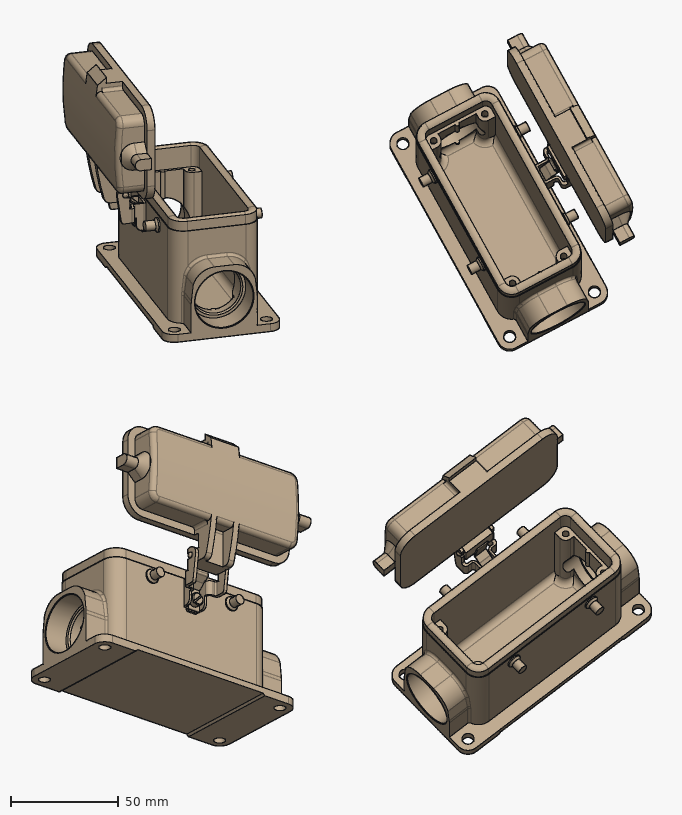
import cadquery as cq
import math

flange_length = 117.0
flange_width = 57.0
flange_thickness = 4.0
flange_corner_radius = 5.8
mount_hole_diameter = 5.6
mount_hole_x = 52.4
mount_hole_y = 22.5
relief_half_length = 38.6
relief_depth = 1.0

body_half_x = 46.6
body_half_y = 21.8
body_corner_radius = 7.6
rim_step = 0.4
rim_base_z = 50.4
housing_height = 55.8
rim_edge_z = 55.2
wall = 4.0
floor_z = 3.5
floor_fillet = 3.4
floor_corner_radius = 3.6

post_x = 38.7
post_y = 13.6
post_radius = 3.5
post_hole_diameter = 3.0
post_hole_depth = 11.7
post_top_z = 44.5
ledge_thickness = 1.5
nub_radius = 1.0

entry_axis_z = 19.0
entry_bore_diameter = 24.0
entry_bore_chamfer_diameter = 25.5
entry_thread_diameter = 28.3
entry_mouth_diameter = 29.0
hood_half_width = 16.1
hood_side_top_z = 18.1
hood_shoulder_y = 15.1
hood_shoulder_z = 28.0
hood_blend_y = 16.0
hood_blend_z = 20.0
hood_flat_half_width = 4.8
hood_top_z = 35.9
hood_fillet = 1.4

peg_x = 23.8
peg_z = 45.5
peg_diameter = 4.8
peg_tip_y = 28.3
collar_diameter = 7.0
collar_thickness = 0.7

cover_half_x = 48.3
cover_bottom_z = 66.8
cover_top_z = 113.3
cover_corner_radius = 9.1
cover_back_y = -30.7
cover_plate_front_y = -34.5
dome_half_x = 44.1
dome_half_z = 19.4
dome_corner_radius = 4.6
dome_edge_fillet = 2.6
bulge_apex_y = -48.3
bulge_apex_z = 91.3
bulge_radius = 134.5
strap_half_width = 8.3
strap_fillet = 1.6
lip_top_z = 116.2
lip_back_y = -42.2
lip_front_z = 112.7
tongue_back_y = -37.3
tongue_bottom_z = 52.6
tongue_bottom_fillet = 2.9
tongue_root_fillet = 1.0
knuckle_top_z = 59.3
knuckle_back_y = -30.2
slot_half_width = 5.0
slot_floor_y = -39.0
slot_top_z = 73.1
slot_fillet = 3.9
lug_tip_x = 55.1
lug_axis_y = -39.5
lug_radius = 2.8
lug_base_radius = 6.85

pin_y = -33.3
pin_z = 56.4
pin_diameter = 3.0
pin_tip_x = 11.0
pin_end_fillet = 1.4
sheet = 1.2
arm_thickness = 1.8
arm_head_radius = 4.1
arm_back_y = -31.4
arm_foot_y = -35.3
arm_foot_fillet = 1.2
bracket_bottom_z = 42.0
bracket_top_z = 49.1
channel_half_width = 5.09
channel_bottom_z = 35.6
channel_front_y = -26.6
channel_corner = 2.3
shoulder_y = -28.5
shoulder_bend = 1.3
inner_bend = 0.8
tab_half_width = 3.4
tab_bottom_z = 33.7
tab_chamfer = 0.9
spring_thickness = 0.7
spring_bend_z = 45.6
spring_slope_run = 3.3
spring_reach_y = -29.7
spring_knee_z = 50.5
spring_tip_y = -28.1
spring_tip_z = 59.4

screw_z = 39.3
screw_head_diameter = 6.3
screw_head_front_y = -26.9
screw_head_chamfer = 0.5
screw_shank_diameter = 3.0
screw_end_y = -19.9
driver_slot_width = 0.8
driver_slot_depth = 0.9
driver_slot_angle = 45

rim_half_x = body_half_x - rim_step
rim_half_y = body_half_y - rim_step
cavity_half_x = rim_half_x - wall
cavity_half_y = rim_half_y - wall
rim_corner_radius = body_corner_radius - rim_step
cavity_corner_radius = rim_corner_radius - wall
flange_end_x = flange_length / 2
cover_mid_z = (cover_bottom_z + cover_top_z) / 2
web_front_y = -body_half_y - sheet
head_back_z = pin_z + math.sqrt(arm_head_radius**2 - (arm_back_y - pin_y) ** 2)
plate_front_y = web_front_y - spring_thickness


def upright_block(half_x, half_y, radius, z_low, z_high):
    """Rectangular block with rounded vertical edges."""
    block = cq.Workplane("XY").workplane(offset=z_low).rect(2 * half_x, 2 * half_y)
    return block.extrude(z_high - z_low).edges("|Z").fillet(radius)


def along_x(diameter, x_start, x_end, y, z):
    """Cylinder parallel to X."""
    disc = cq.Workplane("YZ").workplane(offset=x_start).center(y, z).circle(diameter / 2)
    return disc.extrude(x_end - x_start)


def along_y(diameter, y_start, y_end, x, z):
    """Cylinder parallel to Y."""
    disc = cq.Workplane("XZ", origin=(0, y_start, 0)).center(x, z).circle(diameter / 2)
    return disc.extrude(y_start - y_end)


def mirrored_x(shape):
    """The shape together with its mirror image across X = 0."""
    return shape.union(shape.mirror("YZ"))


def flange():
    plate = upright_block(flange_end_x, flange_width / 2, flange_corner_radius, 0, flange_thickness)
    holes = cq.Workplane("XY").rect(2 * mount_hole_x, 2 * mount_hole_y, forConstruction=True)
    holes = holes.vertices().circle(mount_hole_diameter / 2).extrude(flange_thickness)
    relief_top = relief_half_length - relief_depth
    relief = (
        cq.Workplane("XZ")
        .polyline([(-relief_half_length, 0), (relief_half_length, 0),
                   (relief_top, relief_depth), (-relief_top, relief_depth)])
        .close()
        .extrude(flange_width / 2, both=True)
    )
    return plate.cut(holes).cut(relief)


def entry_hood():
    """Arched block round the cable entry, reaching from inside the end wall to the flange end."""
    arc_angle = math.radians(48)
    arc_radius = hood_shoulder_y - hood_flat_half_width
    arc_y = hood_flat_half_width + arc_radius * math.cos(arc_angle)
    arc_z = hood_top_z - arc_radius * (1 - math.sin(arc_angle))
    return (
        cq.Workplane("YZ", origin=(cavity_half_x, 0, 0))
        .moveTo(-hood_half_width, relief_depth)
        .lineTo(hood_half_width, relief_depth)
        .lineTo(hood_half_width, hood_side_top_z)
        .lineTo(hood_blend_y, hood_blend_z)
        .lineTo(hood_shoulder_y, hood_shoulder_z)
        .threePointArc((arc_y, arc_z), (hood_flat_half_width, hood_top_z))
        .lineTo(-hood_flat_half_width, hood_top_z)
        .threePointArc((-arc_y, arc_z), (-hood_shoulder_y, hood_shoulder_z))
        .lineTo(-hood_blend_y, hood_blend_z)
        .lineTo(-hood_half_width, hood_side_top_z)
        .close()
        .extrude(flange_end_x - cavity_half_x)
    )


def entry_bore():
    """Stepped bore: threaded mouth with a lead-in, then a smaller chamfered hole into the cavity."""
    mouth = (entry_mouth_diameter - entry_thread_diameter) / 2
    lead = (entry_bore_chamfer_diameter - entry_bore_diameter) / 2
    inner_x = post_x - post_radius - floor_fillet
    steps = [
        (inner_x, 0),
        (inner_x, entry_bore_diameter / 2),
        (rim_half_x - lead, entry_bore_diameter / 2),
        (rim_half_x, entry_bore_chamfer_diameter / 2),
        (rim_half_x, entry_thread_diameter / 2),
        (flange_end_x - mouth, entry_thread_diameter / 2),
        (flange_end_x, entry_mouth_diameter / 2),
        (flange_end_x, 0),
    ]
    bore = cq.Workplane("XY").polyline(steps).close().revolve(360, (0, 0, 0), (1, 0, 0))
    return bore.translate((0, 0, entry_axis_z))


def corner_post():
    """Round post with a flared foot, and the block that joins it to the +X, +Y corner."""
    flare_radius = post_radius + floor_fillet
    mid_angle = math.radians(45)
    flare_mid = (
        flare_radius - floor_fillet * math.cos(mid_angle),
        floor_z + floor_fillet * (1 - math.sin(mid_angle)),
    )
    column = (
        cq.Workplane("XZ")
        .moveTo(0, floor_z)
        .lineTo(flare_radius, floor_z)
        .threePointArc(flare_mid, (post_radius, floor_z + floor_fillet))
        .lineTo(post_radius, post_top_z)
        .lineTo(0, post_top_z)
        .close()
        .revolve(360, (0, 0, 0), (0, 1, 0))
    )
    block_side = post_radius + wall
    block_height = post_top_z - floor_z
    to_end_wall = (
        cq.Workplane("XY")
        .box(block_side, 2 * post_radius, block_height, centered=(False, True, False))
    )
    to_side_wall = (
        cq.Workplane("XY")
        .box(2 * post_radius, block_side, block_height, centered=(True, False, False))
    )
    fill = to_end_wall.union(to_side_wall).translate((0, 0, floor_z))
    hole = cq.Workplane("XY").workplane(offset=post_top_z - post_hole_depth)
    hole = hole.circle(post_hole_diameter / 2).extrude(post_hole_depth)
    return column.union(fill).cut(hole).translate((post_x, post_y, 0))


def cavity():
    """Inside of the box, less the thicker end walls and the corner posts."""
    ledge_x = cavity_half_x - ledge_thickness
    lower = upright_block(ledge_x, cavity_half_y, floor_corner_radius, floor_z, post_top_z)
    lower = lower.faces("<Z").edges().fillet(floor_fillet)
    nubs = cq.Workplane("XY").pushPoints([(-ledge_x, 0), (ledge_x, 0)]).circle(nub_radius)
    lower = lower.cut(nubs.extrude(post_top_z))
    post = mirrored_x(corner_post())
    posts = post.union(post.mirror("XZ"))
    upper = upright_block(cavity_half_x, cavity_half_y, cavity_corner_radius, post_top_z, housing_height)
    return lower.cut(posts).union(upper)


def peg():
    """Locking peg with a tapered collar, standing on the +Y wall."""
    collar_y = body_half_y + collar_thickness
    taper = (collar_diameter - peg_diameter) / 2
    outline = [
        (0, cavity_half_y + wall / 2),
        (collar_diameter / 2, cavity_half_y + wall / 2),
        (collar_diameter / 2, collar_y),
        (peg_diameter / 2, collar_y + taper),
        (peg_diameter / 2, peg_tip_y),
        (0, peg_tip_y),
    ]
    return cq.Workplane("XY").polyline(outline).close().revolve(360, (0, 0, 0), (0, 1, 0))


def hood_root_edges(side):
    """Selector of the edges where a hood leaves its end wall; side is 1 for +X and -1 for -X."""
    reach = hood_fillet / 2
    return cq.selectors.BoxSelector(
        (side * (body_half_x - reach), -hood_half_width - reach, flange_thickness),
        (side * (body_half_x + reach), hood_half_width + reach, hood_top_z + reach),
    )


def rim_crown():
    """Shallow arched top of the rim, swept round its outline."""
    middle_x = rim_half_x - wall / 2
    middle_radius = rim_corner_radius - wall / 2
    path = cq.Sketch().rect(2 * middle_x, 2 * (rim_half_y - wall / 2)).vertices().fillet(middle_radius)
    path = cq.Workplane("XY", origin=(0, 0, rim_edge_z)).placeSketch(path).extrude(wall).faces("<Z").wires()
    profile = (
        cq.Workplane("XZ", origin=(0, 0, rim_edge_z))
        .moveTo(rim_half_x, 0)
        .threePointArc((middle_x, housing_height - rim_edge_z), (cavity_half_x, 0))
        .close()
    )
    return profile.sweep(path)


def make_housing():
    box = upright_block(body_half_x, body_half_y, body_corner_radius, relief_depth, rim_base_z)
    hoods = mirrored_x(entry_hood())
    shell = box.union(hoods)
    shell = shell.edges(hood_root_edges(1)).fillet(hood_fillet)
    shell = shell.edges(hood_root_edges(-1)).fillet(hood_fillet)
    shell = shell.union(upright_block(rim_half_x, rim_half_y, rim_corner_radius, floor_z, rim_edge_z))
    shell = shell.union(flange())
    shell = shell.cut(cavity()).union(rim_crown())
    shell = shell.cut(mirrored_x(entry_bore()))
    for sx in (-1, 1):
        for angle in (0, 180):
            shell = shell.union(peg().rotate((0, 0, 0), (0, 0, 1), angle).translate((sx * peg_x, 0, peg_z)))
    return shell


def bulge_y(z):
    """Y of the arched front face at height z."""
    return bulge_apex_y + bulge_radius - math.sqrt(bulge_radius**2 - (z - bulge_apex_z) ** 2)


def wall_slab(half_x, half_z, radius, y_back, y_front):
    """Upright slab with rounded corners, centred on the cover."""
    slab = cq.Workplane("XZ", origin=(0, y_back, cover_mid_z)).rect(2 * half_x, 2 * half_z)
    return slab.extrude(y_back - y_front).edges("|Y").fillet(radius)


def strap_profile():
    """Side outline of the strap: lip at the top, arched front, hinge tongue at the bottom."""
    return (
        cq.Workplane("YZ")
        .moveTo(cover_back_y, cover_top_z)
        .lineTo(lip_back_y, cover_top_z)
        .lineTo(lip_back_y, lip_top_z)
        .lineTo(bulge_y(lip_front_z), lip_front_z)
        .threePointArc((bulge_apex_y, bulge_apex_z), (bulge_y(tongue_bottom_z), tongue_bottom_z))
        .lineTo(knuckle_back_y, tongue_bottom_z)
        .lineTo(knuckle_back_y, knuckle_top_z)
        .lineTo(tongue_back_y, knuckle_top_z)
        .lineTo(tongue_back_y, cover_bottom_z)
        .lineTo(cover_back_y, cover_bottom_z)
        .close()
    )


def lug():
    """End lug of the cover: round-nosed bar on a flared foot, for the +X end."""

    def section(x, radius):
        plane = cq.Workplane("YZ", origin=(x, 0, cover_mid_z))
        return (
            plane.moveTo(cover_plate_front_y, radius)
            .lineTo(lug_axis_y, radius)
            .threePointArc((lug_axis_y - radius, 0), (lug_axis_y, -radius))
            .lineTo(cover_plate_front_y, -radius)
            .close()
        )

    bar = section(dome_half_x, lug_radius).extrude(lug_tip_x - dome_half_x)
    foot_start = section(dome_half_x, lug_base_radius).wires().val()
    foot_end = section(cover_half_x, lug_radius).wires().val()
    foot = cq.Solid.makeLoft([foot_start, foot_end], True)
    return bar.union(cq.Workplane(foot))


def dome():
    """Raised middle of the cover with an arched front face and rounded front edges."""
    block = wall_slab(dome_half_x, dome_half_z, dome_corner_radius, cover_plate_front_y, bulge_apex_y)
    arch_axis_y = bulge_apex_y + bulge_radius
    arch = along_x(2 * bulge_radius, -dome_half_x, dome_half_x, arch_axis_y, bulge_apex_z)
    return block.intersect(arch).faces("<Y").edges().fillet(dome_edge_fillet)


def strap():
    """Central strap over the cover, ending below in two hinge tongues with a slot between them."""
    bar = strap_profile().extrude(strap_half_width, both=True)
    bottom_edge_y = bulge_y(tongue_bottom_z)
    bar = bar.edges(cq.selectors.NearestToPointSelector((0, bottom_edge_y, tongue_bottom_z)))
    bar = bar.fillet(tongue_bottom_fillet)
    bar = bar.edges(cq.selectors.NearestToPointSelector((0, tongue_back_y, cover_bottom_z)))
    bar = bar.fillet(tongue_root_fillet)
    slot_height = slot_top_z - tongue_bottom_z
    slot = (
        cq.Workplane("XZ", origin=(0, slot_floor_y, tongue_bottom_z + slot_height / 2))
        .rect(2 * slot_half_width, slot_height)
        .extrude(slot_floor_y - bulge_apex_y)
    )
    slot = slot.faces(">Z").edges(">Y").fillet(slot_fillet)
    return bar.cut(slot)


def strap_flare(side):
    """Concave flare between dome and strap for +X; side is 1 above the dome and -1 below it."""
    wall_z = side * dome_half_z
    flare_x = strap_half_width + strap_fillet
    flare_z = wall_z + side * strap_fillet
    arc_offset = strap_fillet * (1 - math.sin(math.radians(45)))
    arc_middle = (strap_half_width + arc_offset, wall_z + side * arc_offset)
    front_y = bulge_y(cover_mid_z + wall_z) + dome_edge_fillet
    return (
        cq.Workplane("XZ", origin=(0, cover_plate_front_y, cover_mid_z))
        .moveTo(strap_half_width, wall_z)
        .lineTo(flare_x, wall_z)
        .threePointArc(arc_middle, (strap_half_width, flare_z))
        .close()
        .extrude(cover_plate_front_y - front_y)
    )


def make_cover():
    half_z = cover_mid_z - cover_bottom_z
    plate = wall_slab(cover_half_x, half_z, cover_corner_radius, cover_back_y, cover_plate_front_y)
    shape = plate.union(dome()).union(strap())
    for side in (-1, 1):
        shape = shape.union(mirrored_x(strap_flare(side)))
    shape = shape.union(mirrored_x(lug()))
    pin = along_x(pin_diameter, strap_half_width - sheet, pin_tip_x, pin_y, pin_z)
    pin = pin.faces(">X").edges().fillet(pin_end_fillet)
    return shape.union(mirrored_x(pin))


def channel():
    """Upright channel that straddles the screw: web on the housing wall and two forward legs."""
    depth = -body_half_y - channel_front_y
    height = bracket_top_z - channel_bottom_z
    outside = cq.Workplane("XY").box(2 * channel_half_width, depth, height, centered=(True, False, False))
    outside = outside.translate((0, channel_front_y, channel_bottom_z))
    outside = outside.edges("|Z and >Y").fillet(sheet)
    outside = outside.edges("|X and <Y and <Z").fillet(channel_corner)
    inside = cq.Workplane("XY").box(
        2 * (channel_half_width - sheet), depth - sheet, height, centered=(True, False, False)
    )
    inside = inside.translate((0, channel_front_y, channel_bottom_z))
    tab_height = bracket_bottom_z - tab_bottom_z
    tab = cq.Workplane("XY").box(2 * tab_half_width, sheet, tab_height, centered=(True, False, False))
    tab = tab.translate((0, web_front_y, tab_bottom_z))
    tab = tab.edges("|Y and <Z").chamfer(tab_chamfer)
    return outside.cut(inside).union(tab)


def shoulder():
    """Bent strip from the +X channel leg out to the +X arm."""
    leg_inside_x = channel_half_width - sheet
    arm_outside_x = strap_half_width + arm_thickness
    front_y = shoulder_y - sheet
    bend_end_x = channel_half_width + shoulder_bend
    arm_bend = arm_outside_x - strap_half_width
    return (
        cq.Workplane("XY", origin=(0, 0, bracket_bottom_z))
        .moveTo(leg_inside_x, channel_front_y)
        .lineTo(channel_half_width, channel_front_y)
        .lineTo(channel_half_width, shoulder_y + shoulder_bend)
        .radiusArc((bend_end_x, shoulder_y), -shoulder_bend)
        .lineTo(arm_outside_x - arm_bend, shoulder_y)
        .radiusArc((arm_outside_x, shoulder_y - arm_bend), arm_bend)
        .lineTo(arm_outside_x, arm_back_y)
        .lineTo(strap_half_width, arm_back_y)
        .lineTo(strap_half_width, front_y - inner_bend)
        .radiusArc((strap_half_width - inner_bend, front_y), -inner_bend)
        .lineTo(bend_end_x, front_y)
        .radiusArc((leg_inside_x, front_y + bend_end_x - leg_inside_x), bend_end_x - leg_inside_x)
        .close()
        .extrude(bracket_top_z - bracket_bottom_z)
    )


def arm():
    """Upright +X arm with a round head and a slot that opens backward for the hinge pin."""
    plate = (
        cq.Workplane("YZ", origin=(strap_half_width, 0, 0))
        .moveTo(arm_back_y, bracket_bottom_z)
        .lineTo(arm_foot_y, bracket_bottom_z)
        .lineTo(pin_y - arm_head_radius, pin_z)
        .threePointArc((pin_y, pin_z + arm_head_radius), (arm_back_y, head_back_z))
        .close()
        .extrude(arm_thickness)
    )
    arm_mid_x = strap_half_width + arm_thickness / 2
    foot = cq.selectors.NearestToPointSelector((arm_mid_x, arm_foot_y, bracket_bottom_z))
    plate = plate.edges(foot).fillet(arm_foot_fillet)
    seat = along_x(pin_diameter, strap_half_width, strap_half_width + arm_thickness, pin_y, pin_z)
    mouth = (
        cq.Workplane("YZ", origin=(strap_half_width, (pin_y + arm_back_y) / 2, pin_z))
        .rect(arm_back_y - pin_y, pin_diameter)
        .extrude(arm_thickness)
    )
    return plate.cut(seat).cut(mouth)


def spring_tongue():
    """Thin strip clamped under the screw, bent outward over the channel and back up."""
    root_y = web_front_y - spring_thickness / 2
    path = [
        (root_y, tab_bottom_z + tab_chamfer),
        (root_y, spring_bend_z),
        (spring_reach_y + spring_slope_run, bracket_top_z - spring_thickness),
        (spring_reach_y, spring_knee_z),
        (spring_reach_y, spring_knee_z + sheet),
        (spring_tip_y, spring_tip_z),
    ]
    strip = cq.Workplane("YZ").polyline(path).offset2D(spring_thickness / 2)
    return strip.extrude(tab_half_width, both=True)


def screw_shank():
    return along_y(screw_shank_diameter, screw_end_y, plate_front_y, 0, screw_z)


def make_bracket():
    frame = channel().union(mirrored_x(shoulder().union(arm())))
    return frame.union(spring_tongue()).cut(screw_shank())


def make_screw():
    head = along_y(screw_head_diameter, plate_front_y, screw_head_front_y, 0, screw_z)
    head = head.faces("<Y").edges().chamfer(screw_head_chamfer)
    slot = (
        cq.Workplane("XY")
        .box(screw_head_diameter, driver_slot_depth, driver_slot_width, centered=(True, False, True))
    )
    slot = slot.rotate((0, 0, 0), (0, 1, 0), -driver_slot_angle).translate((0, screw_head_front_y, screw_z))
    return head.cut(slot).union(screw_shank())


housing = make_housing().cut(screw_shank())
cover = make_cover()
hinge_bracket = make_bracket()
bracket_screw = make_screw()
result = cq.Compound.makeCompound([housing.val(), cover.val(), hinge_bracket.val(), bracket_screw.val()])